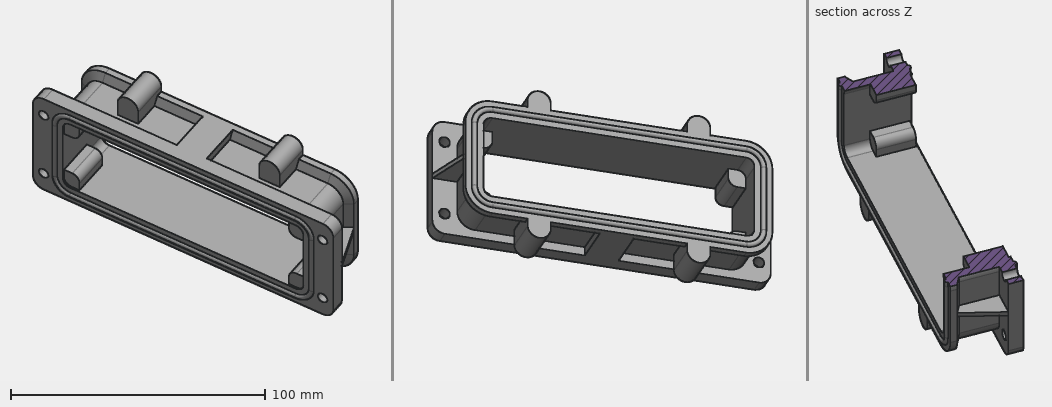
import cadquery as cq
import math

overall_depth = 30.4
overall_height = 65.6

corner_x = 52.5
corner_z = 14.0

flange_length = 140.0
flange_height = 50.0
flange_thickness = 6.4
flange_corner_radius = 5.0
screw_hole_diameter = 4.4
screw_hole_x = 65.0
screw_hole_z = 16.0

frame_depth = 28.4
opening_radius = 3.5
wall_radius = 7.3

lip_thickness = 3.0
lip_taper_depth = 2.1

bead_path_radius = 7.3
bead_diameter = 2.4

centre_rib_length = 14.0
end_gusset_thickness = 2.0

peg_x = 33.0
peg_width = 9.6
peg_front_y = 11.4

post_length = 7.2
post_height = 7.6
post_corner_radius = 3.5
post_front_y = 0.8
post_rear_y = 17.5

lip_radius = flange_height / 2 - corner_z
lip_half_length = corner_x + lip_radius
lip_front_y = frame_depth - lip_thickness
wall_half_height = corner_z + wall_radius
opening_half_length = corner_x + opening_radius
opening_half_height = corner_z + opening_radius
bead_height = (overall_depth - frame_depth) / 2
bead_sink = bead_diameter / 2 - bead_height
signs = (-1, 1)


def block(x_range, y_range, z_range):
    """Axis-aligned box given by two limits along each axis, in either order."""
    x_low, x_high = sorted(x_range)
    y_low, y_high = sorted(y_range)
    z_low, z_high = sorted(z_range)
    box = cq.Workplane("XY").box(x_high - x_low, y_high - y_low, z_high - z_low, centered=False)
    return box.translate((x_low, y_low, z_low))


def centred_block(length, height, y_range):
    """Box centred on the frame axis."""
    return block((-length / 2, length / 2), y_range, (-height / 2, height / 2))


def concentric_block(radius, y_range):
    """Rounded block whose outline lies at this radius around the corner centres."""
    length = 2 * (corner_x + radius)
    height = 2 * (corner_z + radius)
    return centred_block(length, height, y_range).edges("|Y").fillet(radius)


def make_flange():
    """Flat mounting flange with rounded corners."""
    flange = centred_block(flange_length, flange_height, (0, flange_thickness))
    return flange.edges("|Y").fillet(flange_corner_radius)


def make_lip():
    """Rear lip with a taper running from its edge down to the wall."""
    lip = concentric_block(lip_radius, (lip_front_y, frame_depth))
    taper_angle = math.degrees(math.atan2(lip_radius - wall_radius, lip_taper_depth))
    taper = lip.faces("<Y").wires().toPending().workplane()
    return taper.extrude(lip_taper_depth, taper=taper_angle)


def make_centre_rib():
    """Solid band at mid-length, filling the frame out to the flange height."""
    return centred_block(centre_rib_length, flange_height, (0, frame_depth))


def make_end_gussets():
    """Thin plate at both ends, sloping from the lip edge out to the flange edge."""
    outline = [
        (-flange_length / 2, flange_thickness),
        (flange_length / 2, flange_thickness),
        (lip_half_length, lip_front_y),
        (-lip_half_length, lip_front_y),
    ]
    plate = cq.Workplane("XY").polyline(outline).close()
    return plate.extrude(end_gusset_thickness / 2, both=True)


def cut_opening(body):
    """Rectangular opening through the whole depth."""
    return body.cut(concentric_block(opening_radius, (0, frame_depth)))


def cut_screw_holes(body):
    """Four screw holes through the flange."""
    centres = [(x * screw_hole_x, z * screw_hole_z) for x in signs for z in signs]
    holes = cq.Workplane("XZ").pushPoints(centres).circle(screw_hole_diameter / 2)
    return body.cut(holes.extrude(-flange_thickness))


def make_peg(x_side, z_side):
    """Locking peg standing on the wall, with a half-round tip."""
    tip_radius = peg_width / 2
    tip_centre_z = z_side * (overall_height / 2 - tip_radius)
    centre_x = x_side * peg_x
    x_range = (centre_x - tip_radius, centre_x + tip_radius)
    root_z = z_side * (wall_half_height + opening_half_height) / 2
    shank = block(x_range, (peg_front_y, frame_depth), (root_z, tip_centre_z))
    tip = cq.Workplane("XZ", origin=(0, peg_front_y, 0)).center(centre_x, tip_centre_z)
    return shank.union(tip.circle(tip_radius).extrude(peg_front_y - frame_depth))


def make_post(x_side, z_side):
    """Post filling one corner of the opening, rounded where it faces the middle."""
    post = block(
        (x_side * (opening_half_length - post_length), x_side * opening_half_length),
        (post_front_y, post_rear_y),
        (z_side * (opening_half_height - post_height), z_side * opening_half_height),
    )
    x_selector = "<X" if x_side > 0 else ">X"
    z_selector = "<Z" if z_side > 0 else ">Z"
    return post.edges(f"|Y and {x_selector} and {z_selector}").fillet(post_corner_radius)


def make_bead(y_centre):
    """Closed round bead following its concentric outline at this depth."""
    path = concentric_block(bead_path_radius, (y_centre, frame_depth + y_centre)).faces("<Y").wires()
    start = (0, y_centre, corner_z + bead_path_radius)
    section = cq.Workplane("YZ", origin=start).circle(bead_diameter / 2)
    return section.sweep(path)


result = make_flange()
result = result.union(concentric_block(wall_radius, (0, frame_depth)))
result = result.union(make_lip())
result = result.union(make_centre_rib())
result = result.union(make_end_gussets())
result = cut_opening(result)
result = cut_screw_holes(result)

for x_side in signs:
    for z_side in signs:
        result = result.union(make_peg(x_side, z_side))
        result = result.union(make_post(x_side, z_side))

for bead_y in (bead_sink, frame_depth - bead_sink):
    result = result.union(make_bead(bead_y))